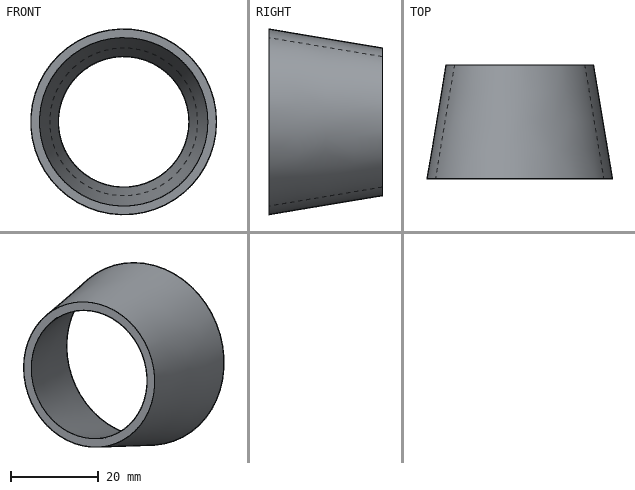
import cadquery as cq

length = 26.0
large_diameter = 42.4
small_diameter = 33.7
wall = 2.0

large_radius = large_diameter / 2
small_radius = small_diameter / 2

wall_section = (
    cq.Workplane("XY")
    .moveTo(large_radius - wall, 0)
    .lineTo(large_radius, 0)
    .lineTo(small_radius, length)
    .lineTo(small_radius - wall, length)
    .close()
)

result = wall_section.revolve(360, (0, 0, 0), (0, 1, 0))